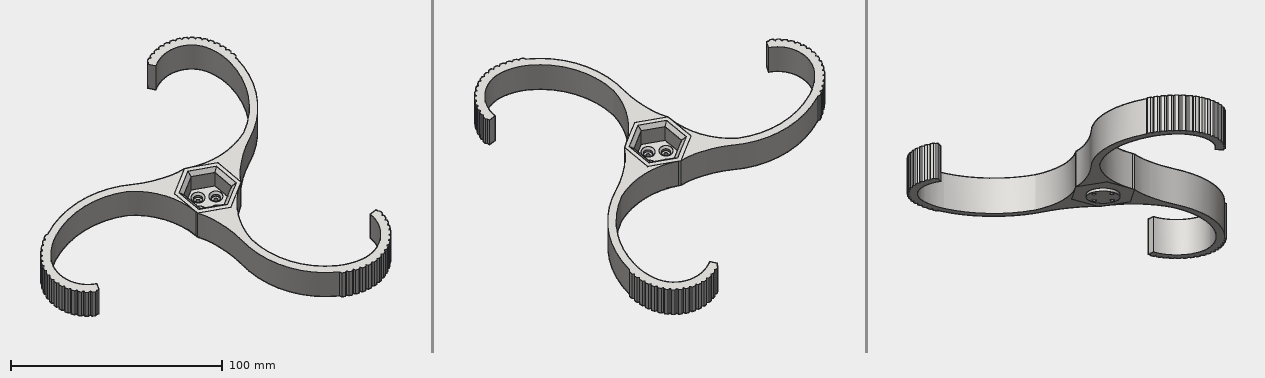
import cadquery as cq
import math

ARM_COUNT = 3
HEIGHT = 18.0

HUB_FLATS = 28.0
POCKET_FLATS = 20.0
POCKET_FLOOR_Z = 6.0
POCKET_CHAMFER = 2.0
BOSS_DIAMETER = 16.0
BOSS_HEIGHT = 1.5

SCREW_COUNT = 4
SCREW_CIRCLE_RADIUS = 6.0
SCREW_START_ANGLE = 7.0
SCREW_DIAMETER = 2.0
SCREW_HEAD_DIAMETER = 4.4
SCREW_HEAD_DEPTH = 2.5
SCREW_HEAD_CHAMFER = 1.1

BAND_THICKNESS = 4.0
BEND_CENTER = (39.55, 39.2)
BEND_RADIUS = 45.4
CURL_CENTER = (50.3, 31.4)
TIP_RADIUS = 17.5
TIP_CENTER = (64.5, 28.1)
TIP_END_ANGLE = 91.8

ROOT_INNER_RADIUS = 40.4
ROOT_INNER_END_ANGLE = 267.3
ROOT_TAIL_GAP = 1.1
ROOT_OUTER_POINT = (19.7, -10.55)
ROOT_OUTER_RADIUS = 35.0
NECK_OUTER_RADIUS = 56.0
NECK_END_ANGLE = 263.8

TOOTH_HEIGHT = 0.85
TOOTH_FLANK_SHARE = 0.25
CURL_TEETH = 4
CURL_TOOTH_ANGLE = 5.3
TIP_TEETH = 12
TIP_TOOTH_ANGLE = 8.5


def polar(center, radius, angle):
    """Point at a distance and an angle in degrees from a centre."""
    a = math.radians(angle)
    return (center[0] + radius * math.cos(a), center[1] + radius * math.sin(a))


def direction(start, end):
    """Angle in degrees of the line from one point to another."""
    return math.degrees(math.atan2(end[1] - start[1], end[0] - start[0]))


ORIGIN = (0.0, 0.0)
HUB_CORNER_RADIUS = HUB_FLATS / math.sqrt(3)

CURL_RADIUS = BEND_RADIUS - math.dist(BEND_CENTER, CURL_CENTER)
CURL_START_ANGLE = direction(BEND_CENTER, CURL_CENTER)
TIP_START_ANGLE = direction(CURL_CENTER, TIP_CENTER)
BEND_OUTER_RADIUS = BEND_RADIUS + BAND_THICKNESS
CURL_OUTER_RADIUS = CURL_RADIUS + BAND_THICKNESS
TIP_OUTER_RADIUS = TIP_RADIUS + BAND_THICKNESS
TEETH_START_ANGLE = TIP_START_ANGLE - CURL_TEETH * CURL_TOOTH_ANGLE


def corner_diameter(flats):
    """Distance across the corners of a hexagon, from the distance across its flats."""
    return flats * 2 / math.sqrt(3)


def hexagon(flats, z):
    return cq.Workplane("XY", origin=(0, 0, z)).polygon(6, corner_diameter(flats))


def make_hub():
    body = hexagon(HUB_FLATS, 0).extrude(HEIGHT)
    boss = cq.Workplane("XY").circle(BOSS_DIAMETER / 2).extrude(-BOSS_HEIGHT)
    pocket = hexagon(POCKET_FLATS, POCKET_FLOOR_Z).extrude(HEIGHT - POCKET_FLOOR_Z)
    chamfer = (
        hexagon(POCKET_FLATS, HEIGHT - POCKET_CHAMFER)
        .workplane(offset=POCKET_CHAMFER)
        .polygon(6, corner_diameter(POCKET_FLATS + 2 * POCKET_CHAMFER))
        .loft(ruled=True)
    )
    return body.union(boss).cut(pocket).cut(chamfer)


def screw_cutter(center):
    """Through hole with a chamfered recess for the screw head, opening into the pocket."""
    head_radius = SCREW_HEAD_DIAMETER / 2
    screw_radius = SCREW_DIAMETER / 2
    head_floor_z = POCKET_FLOOR_Z - SCREW_HEAD_DEPTH
    profile = [
        (0, -BOSS_HEIGHT),
        (screw_radius, -BOSS_HEIGHT),
        (screw_radius, head_floor_z),
        (head_radius, head_floor_z),
        (head_radius, POCKET_FLOOR_Z - SCREW_HEAD_CHAMFER),
        (head_radius + SCREW_HEAD_CHAMFER, POCKET_FLOOR_Z),
        (0, POCKET_FLOOR_Z),
    ]
    cutter = cq.Workplane("XZ").polyline(profile).close().revolve(360, (0, 0), (0, 1))
    return cutter.translate((*center, 0))


def tooth_points(center, root_radius, start_angle, tooth_angle, count):
    """Corners of a row of flat-topped teeth, running counter-clockwise round a centre."""
    crest_radius = root_radius + TOOTH_HEIGHT
    points = []
    for tooth in range(count):
        root_angle = start_angle + tooth * tooth_angle
        crest_start_angle = root_angle + TOOTH_FLANK_SHARE * tooth_angle
        crest_end_angle = root_angle + (1 - TOOTH_FLANK_SHARE) * tooth_angle
        points.append(polar(center, root_radius, root_angle))
        points.append(polar(center, crest_radius, crest_start_angle))
        points.append(polar(center, crest_radius, crest_end_angle))
    return points


def make_arm():
    lower_corner = polar(ORIGIN, HUB_CORNER_RADIUS, -60)
    outer_corner = polar(ORIGIN, HUB_CORNER_RADIUS, 0)
    upper_corner = polar(ORIGIN, HUB_CORNER_RADIUS, 60)
    tail = polar(upper_corner, ROOT_TAIL_GAP, -60)

    neck_end = polar(BEND_CENTER, BEND_OUTER_RADIUS, NECK_END_ANGLE - 360)
    bend_middle_angle = (NECK_END_ANGLE - 360 + CURL_START_ANGLE) / 2
    curl_start = polar(CURL_CENTER, CURL_OUTER_RADIUS, CURL_START_ANGLE)
    curl_middle_angle = (CURL_START_ANGLE + TEETH_START_ANGLE) / 2

    teeth = tooth_points(CURL_CENTER, CURL_OUTER_RADIUS, TEETH_START_ANGLE, CURL_TOOTH_ANGLE, CURL_TEETH)
    teeth += tooth_points(TIP_CENTER, TIP_OUTER_RADIUS, TIP_START_ANGLE, TIP_TOOTH_ANGLE, TIP_TEETH)
    teeth_end_angle = TIP_START_ANGLE + TIP_TEETH * TIP_TOOTH_ANGLE
    teeth.append(polar(TIP_CENTER, TIP_OUTER_RADIUS, teeth_end_angle))

    tip_middle_angle = (TIP_START_ANGLE + TIP_END_ANGLE) / 2
    inner_curl_middle_angle = (CURL_START_ANGLE + TIP_START_ANGLE) / 2
    root_inner_end = polar(BEND_CENTER, BEND_RADIUS, ROOT_INNER_END_ANGLE - 360)
    inner_bend_middle_angle = (ROOT_INNER_END_ANGLE - 360 + CURL_START_ANGLE) / 2

    outline = (
        cq.Workplane("XY")
        .moveTo(*lower_corner)
        .radiusArc(ROOT_OUTER_POINT, ROOT_OUTER_RADIUS)
        .radiusArc(neck_end, NECK_OUTER_RADIUS)
        .threePointArc(polar(BEND_CENTER, BEND_OUTER_RADIUS, bend_middle_angle), curl_start)
        .threePointArc(polar(CURL_CENTER, CURL_OUTER_RADIUS, curl_middle_angle), teeth[0])
    )
    for point in teeth[1:]:
        outline = outline.lineTo(*point)
    outline = (
        outline.lineTo(*polar(TIP_CENTER, TIP_OUTER_RADIUS, TIP_END_ANGLE))
        .lineTo(*polar(TIP_CENTER, TIP_RADIUS, TIP_END_ANGLE))
        .threePointArc(
            polar(TIP_CENTER, TIP_RADIUS, tip_middle_angle),
            polar(TIP_CENTER, TIP_RADIUS, TIP_START_ANGLE),
        )
        .threePointArc(
            polar(CURL_CENTER, CURL_RADIUS, inner_curl_middle_angle),
            polar(CURL_CENTER, CURL_RADIUS, CURL_START_ANGLE),
        )
        .threePointArc(polar(BEND_CENTER, BEND_RADIUS, inner_bend_middle_angle), root_inner_end)
        .radiusArc(tail, ROOT_INNER_RADIUS)
        .lineTo(*outer_corner)
        .close()
    )
    return outline.extrude(HEIGHT)


hub = make_hub()
for screw in range(SCREW_COUNT):
    screw_angle = SCREW_START_ANGLE + screw * 360 / SCREW_COUNT
    hub = hub.cut(screw_cutter(polar(ORIGIN, SCREW_CIRCLE_RADIUS, screw_angle)))

arm = make_arm()
arms = [arm.rotate((0, 0, 0), (0, 0, 1), i * 360 / ARM_COUNT) for i in range(ARM_COUNT)]

result = cq.Compound.makeCompound([hub.val(), *[a.val() for a in arms]])